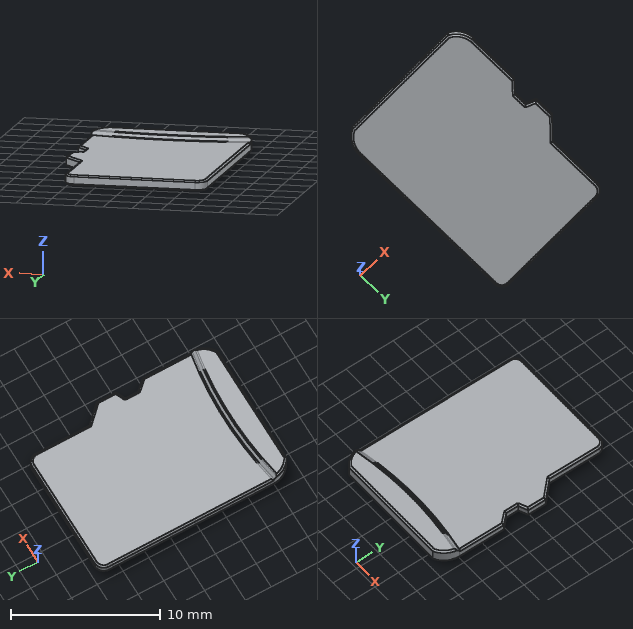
import cadquery as cq
import math

width = 11.01
length = 15.0
head_height = 1.0
plate_height = 0.7
rim_width = 0.15
rim_depth = 0.1

front_corner_x = 0.95
front_corner_y = 1.53
front_radius = (front_corner_x**2 + front_corner_y**2) / (2 * front_corner_x)

back_corner_x = 0.7
back_corner_y = 0.63
back_radius = (back_corner_x**2 + back_corner_y**2) / (2 * back_corner_y)

shoulder_depth = 1.26
shoulder_back = 10.15
shoulder_front = 8.86
notch_depth = 0.7
notch_back = 7.36
notch_floor_back = 7.06
notch_floor_front = 6.06
notch_front = 5.3

step_apex = 2.05
step_radius = 28.5
step_slope = 45.0
step_fillet = 0.15
step_rise = head_height - plate_height
cutter_margin = 1.5


def card_outline(level):
    """Closed outline at a given height, counter-clockwise from the left end of the front edge."""
    notch_x = width - notch_depth
    shoulder_x = width - shoulder_depth
    return (
        cq.Workplane("XY", origin=(0, 0, level))
        .moveTo(front_corner_x, 0)
        .lineTo(width - front_corner_x, 0)
        .radiusArc((width, front_corner_y), -front_radius)
        .lineTo(width, notch_front)
        .lineTo(notch_x, notch_floor_front)
        .lineTo(notch_x, notch_floor_back)
        .lineTo(width, notch_back)
        .lineTo(width, shoulder_front)
        .lineTo(shoulder_x, shoulder_back)
        .lineTo(shoulder_x, length - back_corner_y)
        .radiusArc((shoulder_x - back_corner_x, length), -back_radius)
        .lineTo(back_corner_x, length)
        .radiusArc((0, length - back_corner_y), -back_radius)
        .lineTo(0, front_corner_y)
        .radiusArc((front_corner_x, 0), -front_radius)
        .close()
    )


def step_cutter():
    """Ring swept about a vertical axis in front of the card; its inner wall is the step."""
    axis_y = step_apex - step_radius
    tangent = step_fillet * math.tan(math.radians(step_slope / 2))
    slope = math.radians(step_slope)
    setback_y = tangent * math.cos(slope)
    setback_z = tangent * math.sin(slope)
    crest = step_apex - step_rise / math.tan(slope)
    outer = length + cutter_margin
    top = head_height + cutter_margin
    return (
        cq.Workplane("YZ", origin=(width / 2, 0, 0))
        .moveTo(outer, -cutter_margin)
        .lineTo(step_apex + tangent, -cutter_margin)
        .lineTo(step_apex + tangent, plate_height)
        .radiusArc((step_apex - setback_y, plate_height + setback_z), step_fillet)
        .lineTo(crest + setback_y, head_height - setback_z)
        .radiusArc((crest - tangent, head_height), -step_fillet)
        .lineTo(crest - tangent, top)
        .lineTo(outer, top)
        .close()
        .revolve(360, (axis_y, 0, 0), (axis_y, 1, 0))
    )


def bevelled_slab(height):
    """Card outline raised to the given height with its top and bottom rims bevelled."""
    lean = math.degrees(math.atan2(rim_width, rim_depth))
    wall = card_outline(rim_depth).extrude(height - 2 * rim_depth)
    top_rim = card_outline(height - rim_depth).extrude(rim_depth, taper=lean)
    bottom_rim = card_outline(rim_depth).extrude(-rim_depth, taper=lean)
    return wall.union(top_rim).union(bottom_rim)


plate = bevelled_slab(plate_height)
grip = bevelled_slab(head_height).cut(step_cutter())
result = plate.union(grip)